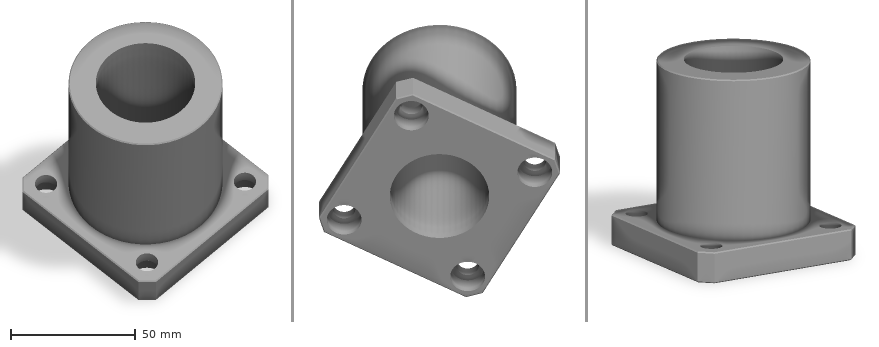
import cadquery as cq
import math

total_height = 80.0
flange_side = 75.0
flange_thickness = 13.0
corner_cut = 5.0
edge_break = 0.5

sleeve_diameter = 62.0
bore_diameter = 40.0

bolt_circle_diameter = 80.0
hole_diameter = 9.0
counterbore_diameter = 14.0
counterbore_depth = 8.1
hole_pitch = bolt_circle_diameter / math.sqrt(2)


def make_flange():
    """Square plate with cut corners and broken top and bottom edges."""
    plate = cq.Workplane("XY").box(
        flange_side, flange_side, flange_thickness, centered=(True, True, False)
    )
    plate = plate.edges("|Z").chamfer(corner_cut)
    return plate.faces("<Z or >Z").edges().chamfer(edge_break)


def make_sleeve():
    """Round sleeve with a broken top rim."""
    sleeve = cq.Workplane("XY").circle(sleeve_diameter / 2).extrude(total_height)
    return sleeve.faces(">Z").edges().chamfer(edge_break)


def make_mounting_cutters():
    """Through holes and their underside counterbores."""
    positions = cq.Workplane("XY").rect(hole_pitch, hole_pitch, forConstruction=True).vertices()
    holes = positions.circle(hole_diameter / 2).extrude(flange_thickness)
    counterbores = positions.circle(counterbore_diameter / 2).extrude(counterbore_depth)
    return holes.union(counterbores)


bore = cq.Workplane("XY").circle(bore_diameter / 2).extrude(total_height)

result = make_flange().union(make_sleeve()).cut(bore).cut(make_mounting_cutters())